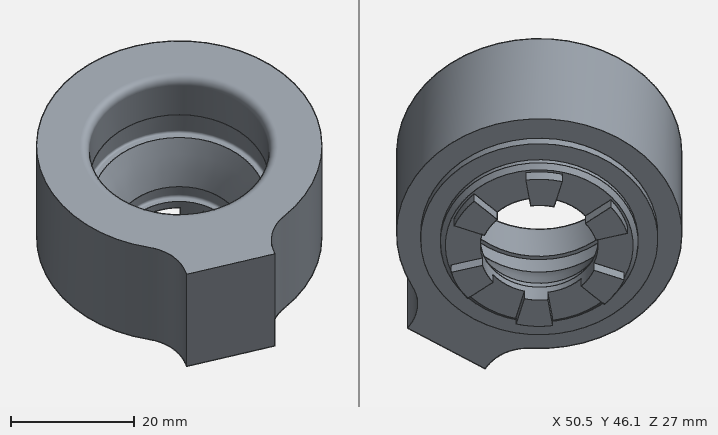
import cadquery as cq
import math

overall_length = 50.5
body_radius = 23.05
foot_height = 2.0
spigot_height = 1.65
flange_height = 1.5
body_height = 21.8

tab_half_width = 7.45
tab_reach = overall_length - body_radius
tab_flat = 0.7

flange_radius = 38.3 / 2
spigot_radius = 31.9 / 2
spigot_chamfer = 0.8

foot_count = 6
foot_outer_radius = 14.75
foot_angle = 23

mouth_radius = 29.0 / 2
mouth_round = 1.4
recess_radius = 30.3 / 2
recess_start_depth = 8.35
recess_floor_depth = 13.25
recess_corner = 0.4
throat_rim_radius = 14.05
throat_depth = 7.85
throat_bulge = 0.25
counterbore_radius = 21.0 / 2
counterbore_depth = 23.5
counterbore_corner = 0.45
bore_radius = 19.0 / 2

spigot_base = foot_height
flange_base = spigot_base + spigot_height
body_base = flange_base + flange_height
top = body_base + body_height


def make_body():
    """Round ring with a tab on +X; each blend arc is tangent to both."""
    blend_x = tab_reach - tab_flat
    blend_radius = (blend_x**2 + tab_half_width**2 - body_radius**2) / (2 * (body_radius - tab_half_width))
    blend_y = tab_half_width + blend_radius
    centre_angle = math.atan2(blend_y, blend_x)
    tangent_x = body_radius * math.cos(centre_angle)
    tangent_y = body_radius * math.sin(centre_angle)
    mid_angle = (centre_angle + math.pi + 1.5 * math.pi) / 2
    mid_x = blend_x + blend_radius * math.cos(mid_angle)
    mid_y = blend_y + blend_radius * math.sin(mid_angle)
    return (
        cq.Workplane("XY", origin=(0, 0, body_base))
        .moveTo(tab_reach, -tab_half_width)
        .lineTo(tab_reach, tab_half_width)
        .lineTo(blend_x, tab_half_width)
        .threePointArc((mid_x, mid_y), (tangent_x, tangent_y))
        .threePointArc((-body_radius, 0), (tangent_x, -tangent_y))
        .threePointArc((mid_x, -mid_y), (blend_x, -tab_half_width))
        .close()
        .extrude(body_height)
    )


def make_underside():
    """Flange and chamfered spigot below the body."""
    flange = cq.Workplane("XY", origin=(0, 0, flange_base)).circle(flange_radius).extrude(flange_height)
    spigot = cq.Workplane("XY", origin=(0, 0, spigot_base)).circle(spigot_radius).extrude(spigot_height)
    return flange.union(spigot.faces("<Z").chamfer(spigot_chamfer))


def make_foot(direction):
    """One foot as a wedge centred on the given direction in degrees; the bore later trims its tip."""
    half_angle = math.radians(foot_angle / 2)

    def polar(radius, angle):
        return (radius * math.cos(angle), radius * math.sin(angle))

    return (
        cq.Workplane("XY")
        .moveTo(0, 0)
        .lineTo(*polar(foot_outer_radius, -half_angle))
        .threePointArc((foot_outer_radius, 0), polar(foot_outer_radius, half_angle))
        .close()
        .extrude(spigot_base)
        .rotate((0, 0, 0), (0, 0, 1), direction)
    )


def make_cavity():
    """Revolved void: rounded mouth, recess, convex throat, counterbore, bore."""
    lip = top - recess_start_depth
    floor = top - recess_floor_depth
    ledge = top - counterbore_depth
    throat_end = floor - throat_depth
    throat_width = throat_rim_radius - counterbore_radius
    chord = math.hypot(throat_width, throat_depth)
    throat_mid_radius = counterbore_radius + throat_width / 2 - throat_bulge * throat_depth / chord
    throat_mid = floor - throat_depth / 2 + throat_bulge * throat_width / chord
    round_offset = mouth_round * (1 - math.sqrt(0.5))
    recess_offset = recess_corner * (1 - math.sqrt(0.5))
    ledge_offset = counterbore_corner * (1 - math.sqrt(0.5))
    return (
        cq.Workplane("XZ")
        .moveTo(0, 0)
        .lineTo(bore_radius, 0)
        .lineTo(bore_radius, ledge)
        .lineTo(counterbore_radius - counterbore_corner, ledge)
        .threePointArc(
            (counterbore_radius - ledge_offset, ledge + ledge_offset),
            (counterbore_radius, ledge + counterbore_corner),
        )
        .lineTo(counterbore_radius, throat_end)
        .threePointArc((throat_mid_radius, throat_mid), (throat_rim_radius, floor))
        .lineTo(recess_radius - recess_corner, floor)
        .threePointArc(
            (recess_radius - recess_offset, floor + recess_offset),
            (recess_radius, floor + recess_corner),
        )
        .lineTo(recess_radius, lip)
        .lineTo(mouth_radius, lip)
        .lineTo(mouth_radius, top - mouth_round)
        .threePointArc(
            (mouth_radius + round_offset, top - round_offset),
            (mouth_radius + mouth_round, top),
        )
        .lineTo(0, top)
        .close()
        .revolve(360, (0, 0, 0), (0, 1, 0))
    )


result = make_body().union(make_underside())
for foot in range(foot_count):
    result = result.union(make_foot(30 + foot * 360 / foot_count))
result = result.cut(make_cavity())